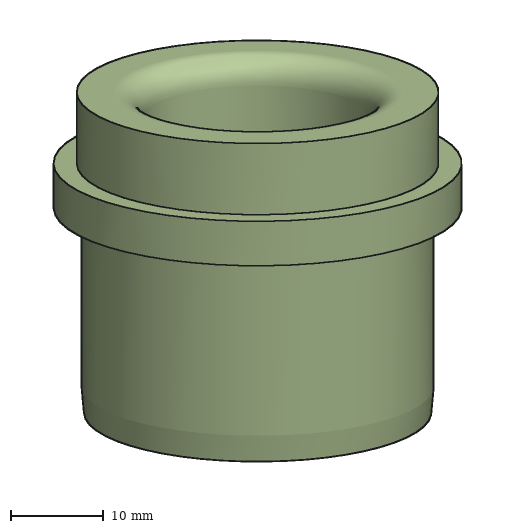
import cadquery as cq
import math

total_height = 36.0
head_height = 8.0
flange_thickness = 5.0
lead_in_height = 3.0

head_diameter = 39.0
flange_diameter = 44.0
shank_diameter = 38.0
bore_diameter = 25.0

lead_in_angle = 5.0
mouth_radius = 3.0
neck_fillet = 1.0

flange_top = total_height - head_height
flange_bottom = flange_top - flange_thickness


def make_body():
    """Revolve the outer silhouette: lead-in taper, shank, neck fillet, flange and head."""
    shank_radius = shank_diameter / 2
    lead_in_radius = shank_radius - lead_in_height * math.tan(math.radians(lead_in_angle))
    return (
        cq.Workplane("XZ")
        .moveTo(0, 0)
        .lineTo(lead_in_radius, 0)
        .lineTo(shank_radius, lead_in_height)
        .lineTo(shank_radius, flange_bottom - neck_fillet)
        .radiusArc((shank_radius + neck_fillet, flange_bottom), neck_fillet)
        .lineTo(flange_diameter / 2, flange_bottom)
        .lineTo(flange_diameter / 2, flange_top)
        .lineTo(head_diameter / 2, flange_top)
        .lineTo(head_diameter / 2, total_height)
        .lineTo(0, total_height)
        .close()
        .revolve(360, (0, 0, 0), (0, 1, 0))
    )


def make_bore():
    """Through bore whose upper mouth flares out on a quarter-round."""
    bore_radius = bore_diameter / 2
    return (
        cq.Workplane("XZ")
        .moveTo(0, 0)
        .lineTo(bore_radius, 0)
        .lineTo(bore_radius, total_height - mouth_radius)
        .radiusArc((bore_radius + mouth_radius, total_height), mouth_radius)
        .lineTo(0, total_height)
        .close()
        .revolve(360, (0, 0, 0), (0, 1, 0))
    )


result = make_body().cut(make_bore())